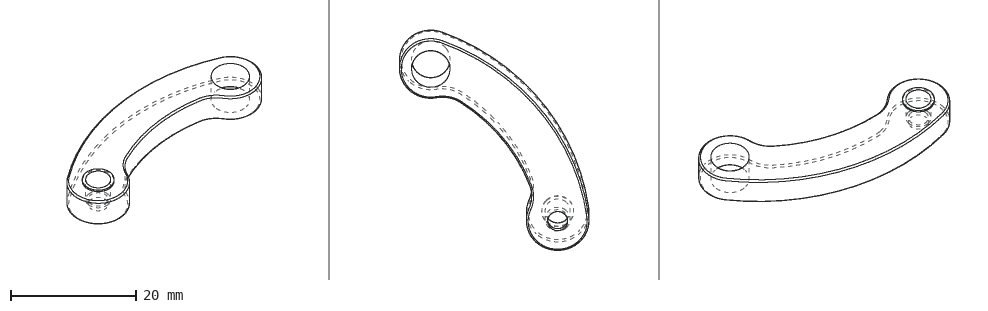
import cadquery as cq
import math

thickness = 5.0
lobe_radius = 5.0
lobe_orbit_radius = 31.83
upper_lobe_angle = 154.5
lower_lobe_angle = 216.1
arm_width = 7.95
fillet_radius = 5.0
edge_chamfer = 0.3

upper_bore_diameter = 6.1
boss_diameter = 5.1
boss_height = 0.3
lower_bore_diameter = 3.2
counterbore_diameter = 4.0
floor_thickness = 1.0

outer_radius = lobe_orbit_radius + lobe_radius
inner_radius = outer_radius - arm_width


def polar(radius, angle):
    """Point at a radius and an angle in degrees about the arc centre."""
    turn = math.radians(angle)
    return radius * math.cos(turn), radius * math.sin(turn)


crossing_cosine = (lobe_orbit_radius**2 + inner_radius**2 - lobe_radius**2) / (
    2 * lobe_orbit_radius * inner_radius
)
crossing_angle = math.degrees(math.acos(crossing_cosine))

middle_angle = (upper_lobe_angle + lower_lobe_angle) / 2
upper_centre = polar(lobe_orbit_radius, upper_lobe_angle)
lower_centre = polar(lobe_orbit_radius, lower_lobe_angle)
upper_crossing = polar(inner_radius, upper_lobe_angle + crossing_angle)
lower_crossing = polar(inner_radius, lower_lobe_angle - crossing_angle)


def lobe_tip(centre, direction):
    """Point on a lobe's rim in the given direction from its centre."""
    dx, dy = polar(lobe_radius, direction)
    return centre[0] + dx, centre[1] + dy


def make_arm():
    """Curved arm with a round lobe at each end, blended on the inner side."""
    outline = (
        cq.Workplane("XY")
        .moveTo(*polar(outer_radius, upper_lobe_angle))
        .threePointArc(polar(outer_radius, middle_angle), polar(outer_radius, lower_lobe_angle))
        .threePointArc(lobe_tip(lower_centre, lower_lobe_angle + 90), lower_crossing)
        .threePointArc(polar(inner_radius, middle_angle), upper_crossing)
        .threePointArc(lobe_tip(upper_centre, upper_lobe_angle - 90), polar(outer_radius, upper_lobe_angle))
        .close()
    )
    arm = outline.extrude(thickness)
    for x, y in (upper_crossing, lower_crossing):
        corner = cq.selectors.NearestToPointSelector((x, y, thickness / 2))
        arm = arm.edges("|Z").edges(corner).fillet(fillet_radius)
    return arm.faces("<Z or >Z").edges().chamfer(edge_chamfer)


def cylinder(centre, diameter, bottom, top):
    """Upright cylinder between two heights."""
    return cq.Workplane("XY", origin=(*centre, bottom)).circle(diameter / 2).extrude(top - bottom)


boss_top = thickness + boss_height

result = make_arm()
result = result.union(cylinder(lower_centre, boss_diameter, 0, boss_top))
result = result.cut(cylinder(upper_centre, upper_bore_diameter, 0, thickness))
result = result.cut(cylinder(lower_centre, lower_bore_diameter, 0, boss_top))
result = result.cut(cylinder(lower_centre, counterbore_diameter, floor_thickness, boss_top))